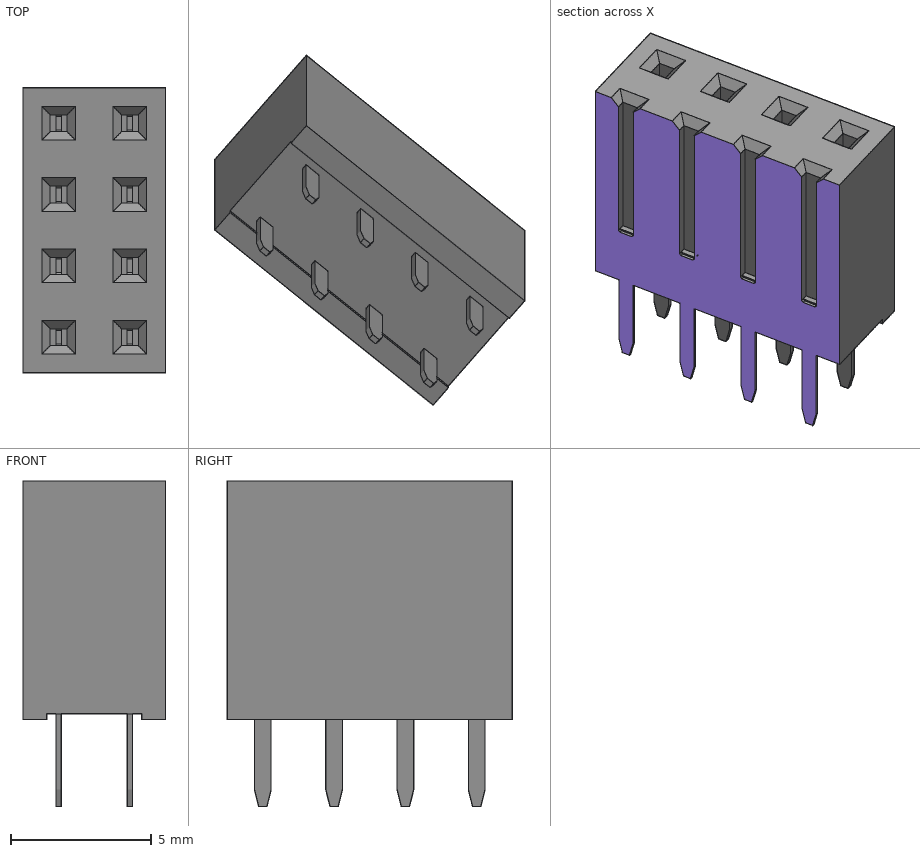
import cadquery as cq

pitch = 2.54
columns = 2
rows = 4

body_length_x = columns * pitch
body_length_y = rows * pitch
body_height = 8.5
foot_width = 0.85
foot_height = 0.2

mouth_size = 1.2
bore_size = 0.6
lead_in_depth = (mouth_size - bore_size) / 2
bore_floor_z = 2.5

slot_width = 0.2
slot_end_run = 0.06
slot_floor_length = bore_size - 2 * slot_end_run
slot_depth = slot_end_run

pin_thickness = slot_width
pin_width = 0.6
pin_tip_width = pin_width / 2
pin_tip_length = 0.6
pin_length = 3.1
pin_root_z = 1.0

grid_points = [
    ((column - (columns - 1) / 2) * pitch, (row - (rows - 1) / 2) * pitch)
    for column in range(columns)
    for row in range(rows)
]


def make_housing():
    """Block with a shallow channel along Y that leaves a foot on each side."""
    block = cq.Workplane("XY").box(
        body_length_x, body_length_y, body_height, centered=(True, True, False)
    )
    channel = cq.Workplane("XY").box(
        body_length_x - 2 * foot_width, body_length_y, foot_height, centered=(True, True, False)
    )
    return block.cut(channel)


def make_socket():
    """Cavity of one socket: tapered mouth, square bore and slotted floor."""
    bore_top_z = body_height - lead_in_depth
    mouth = (
        cq.Workplane("XY", origin=(0, 0, bore_top_z))
        .rect(bore_size, bore_size)
        .workplane(offset=lead_in_depth)
        .rect(mouth_size, mouth_size)
        .loft(ruled=True)
    )
    bore = (
        cq.Workplane("XY", origin=(0, 0, bore_floor_z))
        .rect(bore_size, bore_size)
        .extrude(bore_top_z - bore_floor_z)
    )
    slot_floor_z = bore_floor_z - slot_depth
    slot = (
        cq.Workplane("YZ")
        .moveTo(-bore_size / 2, bore_floor_z)
        .lineTo(-slot_floor_length / 2, slot_floor_z)
        .lineTo(slot_floor_length / 2, slot_floor_z)
        .lineTo(bore_size / 2, bore_floor_z)
        .close()
        .extrude(slot_width / 2, both=True)
    )
    return mouth.union(bore).union(slot)


def make_pin():
    """Flat pin whose width tapers to a blunt tip."""
    shoulder_z = pin_tip_length - pin_length
    return (
        cq.Workplane("YZ")
        .moveTo(-pin_width / 2, pin_root_z)
        .lineTo(-pin_width / 2, shoulder_z)
        .lineTo(-pin_tip_width / 2, -pin_length)
        .lineTo(pin_tip_width / 2, -pin_length)
        .lineTo(pin_width / 2, shoulder_z)
        .lineTo(pin_width / 2, pin_root_z)
        .close()
        .extrude(pin_thickness / 2, both=True)
    )


socket = make_socket()
pin = make_pin()
result = make_housing()
for x, y in grid_points:
    result = result.cut(socket.translate((x, y, 0)))
    result = result.union(pin.translate((x, y, 0)))